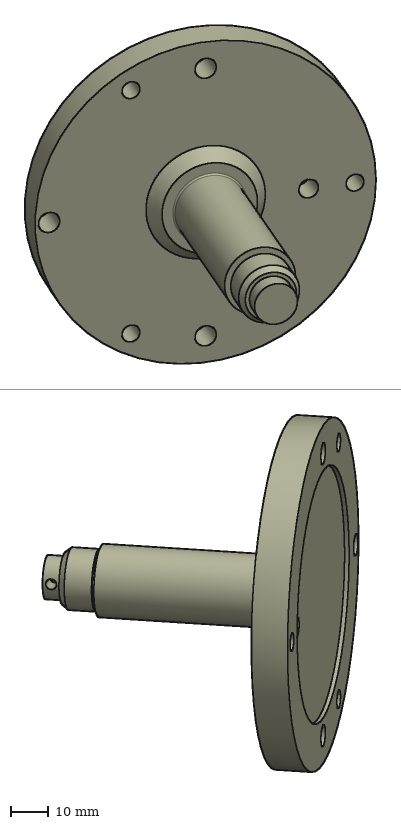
import cadquery as cq
import math

flange_radius = 48.0
flange_thickness = 10.0
recess_radius = 35.0
recess_depth = 1.2

hub_base_radius = 16.8
hub_top_radius = 13.4
hub_length = 3.8
hub_end = flange_thickness + hub_length

shaft_radius = 10.0
shaft_end = 61.1
root_fillet = 0.5
neck_radius = 7.5
neck_length = 1.0
collar_radius = 8.5
collar_nose_radius = 7.2
collar_start = shaft_end + neck_length
collar_nose_start = 69.5
collar_end = 71.2
tip_radius = 6.0
overall_length = 76.0

cross_hole_diameter = 3.0
cross_hole_x = (collar_end + overall_length) / 2

screw_hole_diameter = 5.0
screw_circle_radius = 42.0
screw_hole_count = 3
large_hole_diameter = 6.0
large_hole_offset_z = 40.0
large_hole_offset_y = 44.1
inner_hole_diameter = 5.5
inner_hole_offset_y = 29.0


def revolved_body():
    """Flange, hub and stepped shaft as one revolved profile around X."""
    fillet_middle = root_fillet * (1 - math.sqrt(0.5))
    profile = (
        cq.Workplane("XY")
        .moveTo(recess_depth, 0)
        .lineTo(recess_depth, recess_radius)
        .lineTo(0, recess_radius)
        .lineTo(0, flange_radius)
        .lineTo(flange_thickness, flange_radius)
        .lineTo(flange_thickness, hub_base_radius)
        .lineTo(hub_end, hub_top_radius)
        .lineTo(hub_end, shaft_radius + root_fillet)
        .threePointArc(
            (hub_end + fillet_middle, shaft_radius + fillet_middle),
            (hub_end + root_fillet, shaft_radius),
        )
        .lineTo(shaft_end, shaft_radius)
        .lineTo(shaft_end, neck_radius)
        .lineTo(collar_start, neck_radius)
        .lineTo(collar_start, collar_radius)
        .lineTo(collar_nose_start, collar_radius)
        .lineTo(collar_end, collar_nose_radius)
        .lineTo(collar_end, tip_radius)
        .lineTo(overall_length, tip_radius)
        .lineTo(overall_length, 0)
        .close()
    )
    return profile.revolve(360, (0, 0, 0), (1, 0, 0))


def flange_holes(centers, diameter):
    """Cylinders through the flange at the given (Y, Z) centers."""
    return cq.Workplane("YZ").pushPoints(centers).circle(diameter / 2).extrude(flange_thickness)


def screw_centers():
    """Evenly spaced centers on the screw circle, starting at +Y."""
    angles = [2 * math.pi * i / screw_hole_count for i in range(screw_hole_count)]
    return [(screw_circle_radius * math.cos(a), screw_circle_radius * math.sin(a)) for a in angles]


def cross_hole():
    """Radial cylinder from the shaft axis out through the +Y side of the tip."""
    return (
        cq.Workplane("XZ")
        .center(cross_hole_x, 0)
        .circle(cross_hole_diameter / 2)
        .extrude(-collar_radius)
    )


large_hole_centers = [
    (0, large_hole_offset_z),
    (0, -large_hole_offset_z),
    (-large_hole_offset_y, 0),
]

result = (
    revolved_body()
    .cut(flange_holes(screw_centers(), screw_hole_diameter))
    .cut(flange_holes(large_hole_centers, large_hole_diameter))
    .cut(flange_holes([(inner_hole_offset_y, 0)], inner_hole_diameter))
    .cut(cross_hole())
)